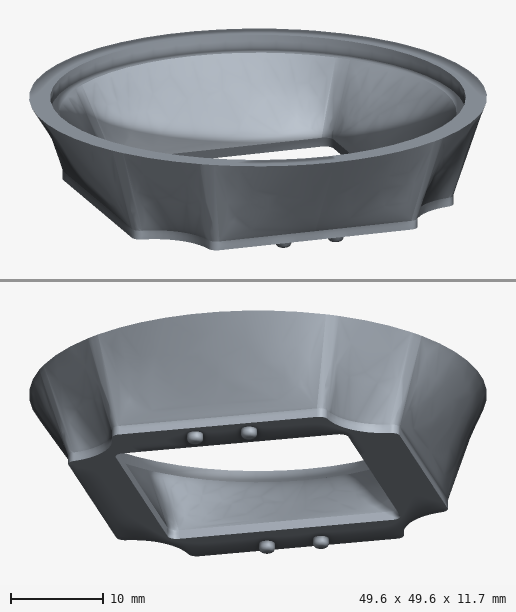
import cadquery as cq
import math

plate_width = 36.9
plate_thickness = 1.0
notch_radius = 6.5
notch_blend_radius = 1.0

window_width = 25.9
window_corner_radius = 1.0

rim_diameter = 49.6
rim_height = 10.7
seat_diameter = 45.0
seat_depth = 1.7
throat_diameter = 43.0

peg_diameter = 1.75
peg_length = 1.0
peg_tip_radius = 0.5
peg_offset_x = 16.55
peg_offset_y = 3.0

seat_floor_height = rim_height - seat_depth


def plate_outline(height):
    """Square with a concave bite at each corner, blended into the sides."""
    half = plate_width / 2
    reach = notch_radius + notch_blend_radius
    blend_centre_x = half - notch_blend_radius
    blend_centre_y = half - math.sqrt(reach**2 - notch_blend_radius**2)
    lean = math.asin(notch_blend_radius / reach)
    side_end = (half, blend_centre_y)
    half_sweep = (math.pi / 2 - lean) / 2
    blend_mid = (
        blend_centre_x + notch_blend_radius * math.cos(half_sweep),
        blend_centre_y + notch_blend_radius * math.sin(half_sweep),
    )
    blend_end = (
        blend_centre_x + notch_blend_radius * math.sin(lean),
        blend_centre_y + notch_blend_radius * math.cos(lean),
    )
    notch_mid_coordinate = half - notch_radius / math.sqrt(2)
    notch_mid = (notch_mid_coordinate, notch_mid_coordinate)

    def mirrored(point):
        """Swap a point across the diagonal through the notch."""
        return (point[1], point[0])

    def turned(point, quarter):
        """Turn a point about the part axis by whole quarter turns."""
        for _ in range(quarter):
            point = (-point[1], point[0])
        return point

    outline = cq.Workplane("XY", origin=(0, 0, height)).moveTo(half, -blend_centre_y)
    for quarter in range(4):
        outline = (
            outline.lineTo(*turned(side_end, quarter))
            .threePointArc(turned(blend_mid, quarter), turned(blend_end, quarter))
            .threePointArc(turned(notch_mid, quarter), turned(mirrored(blend_end), quarter))
            .threePointArc(turned(mirrored(blend_mid), quarter), turned(mirrored(side_end), quarter))
        )
    return outline.close()


def circle_wire(diameter, height):
    """Circle about the part axis at the given height."""
    return cq.Wire.makeCircle(diameter / 2, cq.Vector(0, 0, height), cq.Vector(0, 0, 1))


def make_shell():
    """Plate and the solid funnel body that spreads from it to the round rim."""
    plate = plate_outline(0).extrude(plate_thickness)
    narrow_end = plate_outline(plate_thickness).val()
    wide_end = circle_wire(rim_diameter, rim_height)
    body = cq.Solid.makeLoft([narrow_end, wide_end], ruled=True)
    return plate.union(cq.Workplane(body))


def make_cavity():
    """Window, tapering funnel and the stepped seat inside the rim."""
    window_shape = cq.Sketch().rect(window_width, window_width).vertices().fillet(window_corner_radius)
    window = cq.Workplane("XY").placeSketch(window_shape).extrude(plate_thickness)
    narrow_end = window.faces(">Z").wires().val()
    wide_end = circle_wire(throat_diameter, seat_floor_height)
    funnel = cq.Solid.makeLoft([narrow_end, wide_end], ruled=True)
    seat = cq.Workplane("XY", origin=(0, 0, seat_floor_height)).circle(seat_diameter / 2).extrude(seat_depth)
    return window.union(cq.Workplane(funnel)).union(seat)


def make_pegs():
    """Four round-tipped pegs hanging from the underside of the plate."""
    return (
        cq.Workplane("XY")
        .rect(2 * peg_offset_x, 2 * peg_offset_y, forConstruction=True)
        .vertices()
        .circle(peg_diameter / 2)
        .extrude(-peg_length)
        .faces("<Z")
        .edges()
        .fillet(peg_tip_radius)
    )


result = make_shell().cut(make_cavity()).union(make_pegs())